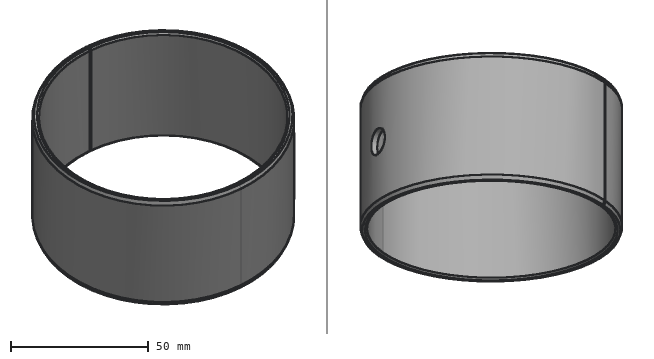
import cadquery as cq
import math

outer_diameter = 95.0
height = 50.0
wall = 2.5
outer_chamfer_height = 1.7
outer_chamfer_depth = 0.7
inner_chamfer = 0.8
slit_width = 0.8
slit_offset = slit_width / 2
hole_diameter = 10.0
hole_angle = 59.0

outer_radius = outer_diameter / 2
inner_radius = outer_radius - wall


def bushing_ring():
    """Revolve the wall section, chamfered at both ends, about Z."""
    section = [
        (inner_radius, inner_chamfer),
        (inner_radius + inner_chamfer, 0),
        (outer_radius - outer_chamfer_depth, 0),
        (outer_radius, outer_chamfer_height),
        (outer_radius, height - outer_chamfer_height),
        (outer_radius - outer_chamfer_depth, height),
        (inner_radius + inner_chamfer, height),
        (inner_radius, height - inner_chamfer),
    ]
    return cq.Workplane("XZ").polyline(section).close().revolve(360, (0, 0, 0), (0, 1, 0))


def slit_cutter():
    """Full-height joint through the wall on the -X side."""
    slit = cq.Workplane("XY").box(outer_radius, slit_width, height, centered=(False, True, False))
    return slit.translate((-outer_radius, slit_offset, 0))


def oil_hole_cutter():
    """Radial hole through one side of the wall at mid height."""
    angle = math.radians(hole_angle)
    direction = cq.Vector(math.cos(angle), math.sin(angle), 0)
    start = cq.Vector(0, 0, height / 2)
    return cq.Workplane(cq.Solid.makeCylinder(hole_diameter / 2, outer_diameter, start, direction))


result = bushing_ring().cut(slit_cutter()).cut(oil_hole_cutter())